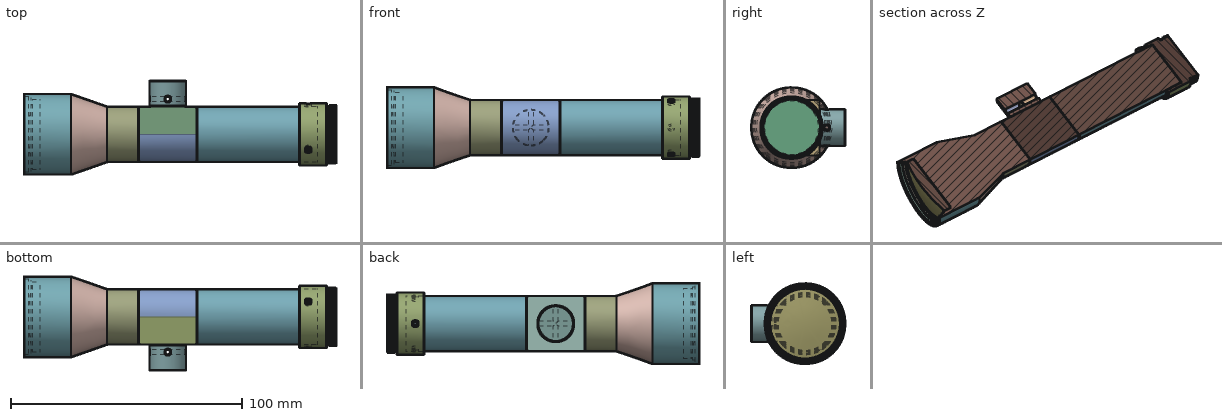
import cadquery as cq
import math


total_length = 135.0
total_width = 40.8
bell_diameter = 35.0
bell_radius = bell_diameter / 2
tube_radius = 12.0
edge_chamfer = 0.4

bell_end = 20.2
cone_end = 35.9
block_start = 49.7
block_end = 74.5
collar_start = 118.9
collar_end = 130.9
thread_start = 131.7
tube_end = 126.9

recess_steps = [(16.3, 1.8), (15.8, 3.0), (15.1, 3.5)]
recess_mouth_chamfer = 0.4
lens_radius = recess_steps[-1][0]
lens_seat = 6.7
lens_dome_height = 1.6

port_radius = 8.0
port_end = total_width - bell_radius
port_hole_count = 4
port_hole_radius = 1.1
port_hole_mouth_radius = 1.5
port_hole_offset = 3.2
port_center = (block_start + block_end) / 2

collar_radius = 13.5
thread_radius = 12.7
thread_pitch = 0.8
thread_depth = 0.5
thread_overcut = 0.07
groove_root_width = thread_pitch / 4
groove_mouth_width = 0.9 * thread_pitch

screw_count = 3
screw_radius = 1.5
screw_sink = 0.3
screw_station = 122.8
socket_width = 1.5
socket_depth = 0.7


def cylinder(start, end, radius):
    """Cylinder on the optical axis between two stations."""
    return cq.Workplane("YZ").workplane(offset=start).circle(radius).extrude(end - start)


def make_front_tube():
    """Bell, cone and neck, with the stepped recess for the lens."""
    profile = [
        (0, 0),
        (0, bell_radius),
        (bell_end, bell_radius),
        (cone_end, tube_radius),
        (block_start - edge_chamfer, tube_radius),
        (block_start, tube_radius - edge_chamfer),
        (block_start, 0),
    ]
    tube = cq.Workplane("XY").polyline(profile).close().revolve(360, (0, 0, 0), (1, 0, 0))
    for radius, depth in recess_steps:
        tube = tube.cut(cylinder(0, depth, radius))
    mouth_radius = recess_steps[0][0]
    mouth = cq.Solid.makeCone(
        mouth_radius + recess_mouth_chamfer,
        mouth_radius,
        recess_mouth_chamfer,
        dir=cq.Vector(1, 0, 0),
    )
    return tube.cut(cq.Workplane(mouth)).cut(cylinder(0, lens_seat, lens_radius))


def make_lens():
    """Objective lens with a domed front and a flat back."""
    rim = recess_steps[-1][1]
    dome_radius = (lens_radius**2 + lens_dome_height**2) / (2 * lens_dome_height)
    half_angle = math.asin(lens_radius / dome_radius) / 2
    dome_center = rim - lens_dome_height + dome_radius
    dome_middle = (
        dome_center - dome_radius * math.cos(half_angle),
        dome_radius * math.sin(half_angle),
    )
    return (
        cq.Workplane("XY")
        .moveTo(rim - lens_dome_height, 0)
        .threePointArc(dome_middle, (rim, lens_radius))
        .lineTo(lens_seat, lens_radius)
        .lineTo(lens_seat, 0)
        .close()
        .revolve(360, (0, 0, 0), (1, 0, 0))
    )


def make_block():
    """Middle housing: round on the -Y side and square on the +Y side."""
    length = block_end - block_start
    square_side = (
        cq.Workplane("XY")
        .box(length, tube_radius, 2 * tube_radius, centered=(False, False, True))
        .translate((block_start, 0, 0))
    )
    return cylinder(block_start, block_end, tube_radius).union(square_side)


def make_port_hole():
    """Tool for a radial hole with a countersunk mouth, pointing along +Z from the port axis."""
    countersink_start = port_radius - (port_hole_mouth_radius - port_hole_radius)
    profile = [
        (0, 0),
        (port_hole_radius, 0),
        (port_hole_radius, countersink_start),
        (port_hole_mouth_radius, port_radius),
        (0, port_radius),
    ]
    return cq.Workplane("XZ").polyline(profile).close().revolve(360, (0, 0, 0), (0, 1, 0))


def make_port():
    """Side port with countersunk radial holes near its foot."""
    port = (
        cq.Workplane("XZ", origin=(port_center, tube_radius, 0))
        .circle(port_radius)
        .extrude(tube_radius - port_end)
        .faces("<Y or >Y")
        .chamfer(edge_chamfer)
    )
    hole_center = (port_center, tube_radius + port_hole_offset, 0)
    for index in range(port_hole_count):
        angle = index * 360 / port_hole_count
        hole = make_port_hole().rotate((0, 0, 0), (0, 1, 0), angle)
        port = port.cut(hole.translate(hole_center))
    return port


def make_rear_tube():
    """Plain tube from the block into the collar."""
    return cylinder(block_end, tube_end, tube_radius).faces("<X").chamfer(edge_chamfer)


def make_thread_groove():
    """Helical groove that leaves the thread between its turns and overruns both ends."""
    root_radius = thread_radius - thread_depth
    outer_radius = thread_radius + thread_overcut
    height = total_length - thread_start + 2 * thread_pitch
    path = cq.Wire.makeHelix(thread_pitch, height, root_radius)
    profile = [
        (root_radius, -groove_root_width / 2),
        (root_radius, groove_root_width / 2),
        (outer_radius, groove_mouth_width / 2),
        (outer_radius, -groove_mouth_width / 2),
    ]
    groove = cq.Workplane("XZ").polyline(profile).close().sweep(cq.Workplane(path), isFrenet=True)
    return groove.rotate((0, 0, 0), (0, 1, 0), 90).translate((thread_start - thread_pitch, 0, 0))


def make_thread():
    """Threaded end, trimmed square from a longer grooved cylinder."""
    overrun = 2 * thread_pitch
    blank = cylinder(thread_start - overrun, total_length + overrun, thread_radius)
    trim = cylinder(thread_start, total_length, collar_radius)
    return blank.cut(make_thread_groove()).intersect(trim)


def place_around(body):
    """Copies of a body built along +Y at X = 0, spread around the collar."""
    step = 360 / screw_count
    return [
        body.rotate((0, 0, 0), (1, 0, 0), index * step).translate((screw_station, 0, 0))
        for index in range(screw_count)
    ]


def make_rear_mount():
    """Clamp collar, relief neck and threaded end in one piece."""
    mount = cylinder(collar_start, collar_end, collar_radius).faces("<X or >X").chamfer(edge_chamfer)
    mount = mount.union(cylinder(collar_end, thread_start, tube_radius))
    mount = mount.union(make_thread())
    mount = mount.cut(cylinder(collar_start, tube_end, tube_radius))
    screw_hole = cq.Workplane("XZ").circle(screw_radius).extrude(-collar_radius)
    for hole in place_around(screw_hole):
        mount = mount.cut(hole)
    return mount


def make_screws():
    """Set screws that bear on the rear tube, each with a hexagonal socket."""
    screw_top = collar_radius - screw_sink
    screw = (
        cq.Workplane("XZ", origin=(0, tube_radius, 0))
        .circle(screw_radius)
        .extrude(tube_radius - screw_top)
    )
    socket = (
        cq.Workplane("XZ", origin=(0, screw_top, 0))
        .polygon(6, socket_width, circumscribed=True)
        .extrude(socket_depth)
    )
    return place_around(screw.cut(socket))


front_tube = make_front_tube()
lens = make_lens()
block = make_block()
port = make_port()
rear_tube = make_rear_tube()
rear_mount = make_rear_mount()
screws = make_screws()

result = cq.Compound.makeCompound(
    [
        front_tube.val(),
        lens.val(),
        block.val(),
        port.val(),
        rear_tube.val(),
        rear_mount.val(),
        *[screw.val() for screw in screws],
    ]
)